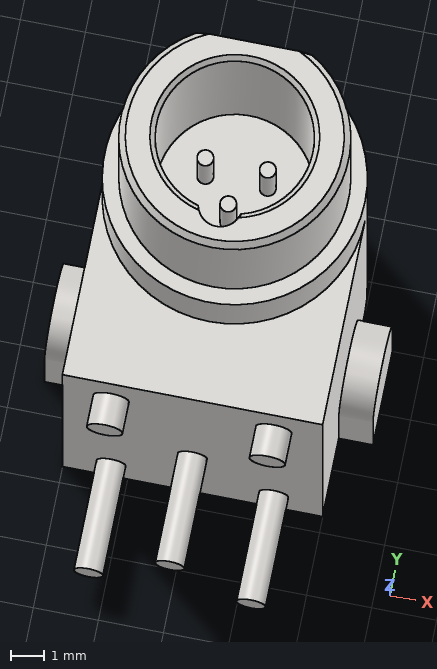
import cadquery as cq


barrel_radius = 4.0
barrel_height = 12.2
block_width = 2 * barrel_radius
block_height = 10.1
mounting_face_y = -6.5

neck_radius = 3.5
total_height = 16.7
neck_height = total_height - barrel_height
neck_flat_y = 3.0
neck_edge_chamfer = 0.2

bore_radius = 2.4
bore_depth = 6.0
bore_edge_chamfer = 0.16
keyway_radius = 0.66
keyway_center_y = -2.22
keyway_depth = neck_height

contact_radius = 0.25
contact_height = 2.0
contact_positions = [(-0.96, 0.28), (0.96, 0.28), (0, -1.0)]

overall_width = 10.1
tab_radius = 1.5
tab_center_y = -2.5
tab_arc_center_z = 2.5

pin_radius = 0.45
pin_length = 3.5
pin_positions = [(-2.5, 1.4), (2.5, 1.4), (0, 3.9)]
peg_radius = 0.55
peg_length = 1.0
peg_positions = [(-2.5, 8.5), (2.5, 8.5)]


def make_housing():
    """Barrel and the block reaching from the barrel axis to the mounting face."""
    barrel = cq.Workplane("XY").circle(barrel_radius).extrude(barrel_height)
    block = (
        cq.Workplane("XY")
        .center(0, mounting_face_y / 2)
        .rect(block_width, -mounting_face_y)
        .extrude(block_height)
    )
    return barrel.union(block)


def make_neck():
    """Neck chamfered around its top edge, then trimmed flat on the +Y side."""
    neck = (
        cq.Workplane("XY", origin=(0, 0, barrel_height))
        .circle(neck_radius)
        .extrude(neck_height)
        .faces(">Z")
        .chamfer(neck_edge_chamfer)
    )
    flat_depth = neck_radius - neck_flat_y
    trim = (
        cq.Workplane("XY", origin=(0, neck_flat_y + flat_depth / 2, barrel_height))
        .rect(2 * neck_radius, flat_depth)
        .extrude(neck_height)
    )
    return neck.cut(trim)


def make_socket():
    """Volume removed for the bore, its chamfered mouth and the keyway."""
    bore = (
        cq.Workplane("XY", origin=(0, 0, total_height))
        .circle(bore_radius)
        .extrude(-bore_depth)
    )
    mouth = (
        cq.Workplane("XY", origin=(0, 0, total_height))
        .circle(bore_radius + bore_edge_chamfer)
        .workplane(offset=-bore_edge_chamfer)
        .circle(bore_radius)
        .loft(ruled=True)
    )
    keyway = (
        cq.Workplane("XY", origin=(0, keyway_center_y, total_height))
        .circle(keyway_radius)
        .extrude(-keyway_depth)
    )
    return bore.union(mouth).union(keyway)


def make_contacts():
    """Contacts rising from the floor of the bore."""
    return (
        cq.Workplane("XY", origin=(0, 0, total_height - bore_depth))
        .pushPoints(contact_positions)
        .circle(contact_radius)
        .extrude(contact_height)
    )


def make_side_tabs():
    """One round-topped bar across the full width; its ends are the two tabs."""
    return (
        cq.Workplane("YZ", origin=(-overall_width / 2, 0, 0))
        .moveTo(tab_center_y - tab_radius, 0)
        .lineTo(tab_center_y - tab_radius, tab_arc_center_z)
        .threePointArc(
            (tab_center_y, tab_arc_center_z + tab_radius),
            (tab_center_y + tab_radius, tab_arc_center_z),
        )
        .lineTo(tab_center_y + tab_radius, 0)
        .close()
        .extrude(overall_width)
    )


def make_posts(positions, radius, length):
    """Round posts standing out of the mounting face toward -Y."""
    return (
        cq.Workplane("XZ", origin=(0, mounting_face_y, 0))
        .pushPoints(positions)
        .circle(radius)
        .extrude(length)
    )


result = (
    make_housing()
    .union(make_neck())
    .union(make_side_tabs())
    .cut(make_socket())
    .union(make_contacts())
    .union(make_posts(pin_positions, pin_radius, pin_length))
    .union(make_posts(peg_positions, peg_radius, peg_length))
)